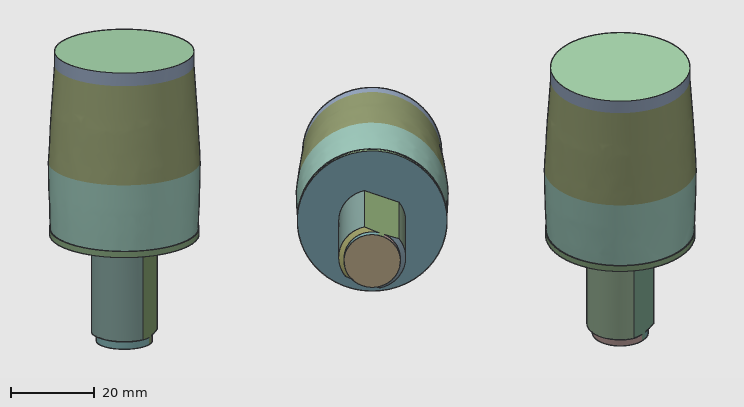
import cadquery as cq

total_height = 72.8
base_height = 26.8
lip_top = 28.3
waist_height = 45.0
band_bottom = 69.5
lip_radius = 17.9
grip_base_radius = 17.7
waist_diameter = 36.35
waist_radius = waist_diameter / 2
band_radius = 16.7
upper_bulge = 0.1
lower_bulge = 0.1

shank_radius = 8.0
spigot_diameter = 13.5
spigot_radius = spigot_diameter / 2
spigot_height = 1.8
chamfer_height = 0.6
flat_distance = 6.7
flat_turn = 8.0


def make_knob():
    """Revolve the grip outline, with slightly convex sides above and below the waist."""
    lower_middle = (
        (grip_base_radius + waist_radius) / 2 + lower_bulge,
        (lip_top + waist_height) / 2,
    )
    upper_middle = (
        (waist_radius + band_radius) / 2 + upper_bulge,
        (waist_height + band_bottom) / 2,
    )
    outline = (
        cq.Workplane("XZ")
        .moveTo(0, base_height)
        .lineTo(lip_radius, base_height)
        .lineTo(lip_radius, lip_top)
        .lineTo(grip_base_radius, lip_top)
        .threePointArc(lower_middle, (waist_radius, waist_height))
        .threePointArc(upper_middle, (band_radius, band_bottom))
        .lineTo(band_radius, total_height)
        .lineTo(0, total_height)
        .close()
    )
    return outline.revolve(360, (0, 0), (0, 1))


def make_pin():
    """Turn the shank and spigot, then trim both sides to parallel flats."""
    turned = (
        cq.Workplane("XZ")
        .lineTo(spigot_radius, 0)
        .lineTo(spigot_radius, spigot_height)
        .lineTo(shank_radius, spigot_height + chamfer_height)
        .lineTo(shank_radius, base_height)
        .lineTo(0, base_height)
        .close()
        .revolve(360, (0, 0), (0, 1))
    )
    between_flats = (
        cq.Workplane("XY")
        .rect(2 * flat_distance, 2 * shank_radius)
        .extrude(base_height)
        .rotate((0, 0, 0), (0, 0, 1), flat_turn)
    )
    return turned.intersect(between_flats)


knob = make_knob()
pin = make_pin()

result = cq.Compound.makeCompound([knob.val(), pin.val()])